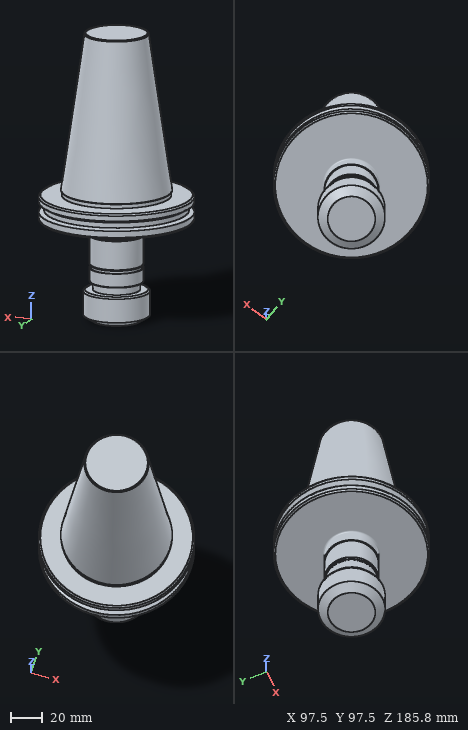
import cadquery as cq

total_height = 185.8
nut_height = 20.0
shank_bottom = 25.0
flange_bottom = 64.8
flange_top = 81.0
taper_bottom = 84.1

gauge_radius = 35.0
taper_rate = 7 / 24 / 2
taper_top_radius = gauge_radius - taper_rate * (total_height - taper_bottom)
taper_top_chamfer = 0.7
relief_radius = 34.4
relief_chamfer = gauge_radius - relief_radius

flange_diameter = 97.5
flange_radius = flange_diameter / 2
flange_chamfer = 1.1
groove_floor_radius = 45.5
groove_floor_bottom = 71.3
groove_floor_top = 74.7
groove_mouth_bottom = 70.0
groove_mouth_top = 76.5

shank_diameter = 34.0
shank_radius = shank_diameter / 2
shank_chamfer = 0.5
shank_fillet = 1.1
neck_radius = 14.9
score_height = 55.5
score_depth = 0.4
ring_groove_bottom = 34.2
ring_groove_top = 36.8
ring_groove_depth = 0.7
ring_groove_slope_height = 1.0

nut_radius = 21.0
nut_top_chamfer = 1.1
nut_nose_radius = 14.9
nut_nose_height = 3.7


def turned(points):
    """Revolve a closed (radius, height) outline about the Z axis."""
    return cq.Workplane("XZ").polyline(points).close().revolve(360, (0, 0, 0), (0, 1, 0))


def make_taper():
    chamfer_height = total_height - taper_top_chamfer
    chamfer_radius = taper_top_radius + taper_rate * taper_top_chamfer
    return turned([
        (0, flange_top),
        (relief_radius, flange_top),
        (relief_radius, taper_bottom - relief_chamfer),
        (gauge_radius, taper_bottom),
        (chamfer_radius, chamfer_height),
        (chamfer_radius - taper_top_chamfer, total_height),
        (0, total_height),
    ])


def make_flange():
    return turned([
        (0, flange_bottom),
        (flange_radius - flange_chamfer, flange_bottom),
        (flange_radius, flange_bottom + flange_chamfer),
        (flange_radius, groove_mouth_bottom),
        (groove_floor_radius, groove_floor_bottom),
        (groove_floor_radius, groove_floor_top),
        (flange_radius, groove_mouth_top),
        (flange_radius, flange_top - flange_chamfer),
        (flange_radius - flange_chamfer, flange_top),
        (0, flange_top),
    ])


def make_shank():
    shank = (
        cq.Workplane("XZ")
        .moveTo(0, nut_height)
        .lineTo(neck_radius, nut_height)
        .lineTo(neck_radius, shank_bottom)
        .lineTo(shank_radius - shank_chamfer, shank_bottom)
        .lineTo(shank_radius, shank_bottom + shank_chamfer)
        .lineTo(shank_radius, flange_bottom - shank_fillet)
        .radiusArc((shank_radius + shank_fillet, flange_bottom), shank_fillet)
        .lineTo(0, flange_bottom)
        .close()
        .revolve(360, (0, 0, 0), (0, 1, 0))
    )
    groove_radius = shank_radius - ring_groove_depth
    ring_groove = turned([
        (shank_radius, ring_groove_bottom),
        (groove_radius, ring_groove_bottom),
        (groove_radius, ring_groove_top - ring_groove_slope_height),
        (shank_radius, ring_groove_top),
    ])
    score = turned([
        (shank_radius, score_height - score_depth),
        (shank_radius - score_depth, score_height),
        (shank_radius, score_height + score_depth),
    ])
    return shank.cut(ring_groove).cut(score)


def make_holder():
    """Taper, flange and shank form the one-piece tool holder."""
    return make_flange().union(make_taper()).union(make_shank())


def make_nut():
    """Clamping nut with a conical nose, seated against the end of the neck."""
    return turned([
        (0, 0),
        (nut_nose_radius, 0),
        (nut_radius, nut_nose_height),
        (nut_radius, nut_height - nut_top_chamfer),
        (nut_radius - nut_top_chamfer, nut_height),
        (0, nut_height),
    ])


holder = make_holder()
nut = make_nut()
result = cq.Compound.makeCompound([holder.val(), nut.val()])